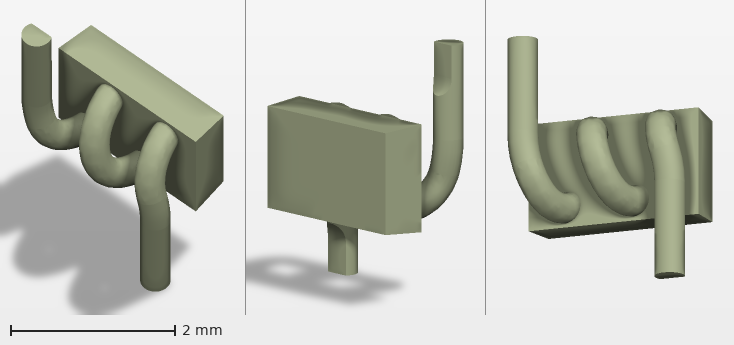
import cadquery as cq
import math

total_height = 3.17
wire_diameter = 0.375
coil_outer_radius = 0.635
turns = 2
pitch = 0.9
bend_height = 0.405

wire_radius = wire_diameter / 2
coil_radius = coil_outer_radius - wire_radius

core_front_y = 0.127
core_depth = 0.558
core_width = 2.23
core_height = 1.345
core_inset = 0.038

flat_offset = 0.092
flat_length = 0.412
runout_length = 0.222

coil_circumference = 2 * math.pi * coil_radius
coil_length = turns * pitch
lead_angle = math.atan(pitch / coil_circumference)
bend_radius = bend_height / math.sin(lead_angle)
bend_offset = bend_radius * (1 - math.cos(lead_angle))
lead_x = -coil_length / 2 - bend_offset


def make_coil():
    """Helical wire that starts and ends at the front of the coil."""
    helix = cq.Wire.makeHelix(pitch, coil_length, coil_radius)
    section_plane = cq.Plane(
        origin=(coil_radius, 0, 0),
        xDir=(1, 0, 0),
        normal=(0, math.cos(lead_angle), math.sin(lead_angle)),
    )
    upright = cq.Workplane(section_plane).circle(wire_radius).sweep(cq.Workplane(helix), isFrenet=True)
    coil_plane = cq.Plane(origin=(-coil_length / 2, 0, 0), xDir=(0, -1, 0), normal=(1, 0, 0))
    return cq.Workplane(upright.val().moved(cq.Location(coil_plane)))


def make_flat_cutter():
    """Cutter for the flat and its concave runout at the top of the left lead."""
    top = total_height / 2
    flat_y = -coil_radius + flat_offset
    back_y = -coil_radius + wire_radius
    runout_start = top - flat_length
    runout_rise = back_y - flat_y
    runout_radius = (runout_length**2 + runout_rise**2) / (2 * runout_rise)
    half_sweep = math.asin(runout_length / runout_radius) / 2
    runout_middle = (
        flat_y + runout_radius * (1 - math.cos(half_sweep)),
        runout_start - runout_radius * math.sin(half_sweep),
    )
    return (
        cq.Workplane("YZ", origin=(lead_x, 0, 0))
        .moveTo(flat_y, top)
        .lineTo(flat_y, runout_start)
        .threePointArc(runout_middle, (back_y, runout_start - runout_length))
        .lineTo(back_y, top)
        .close()
        .extrude(wire_radius, both=True)
    )


def make_upper_lead():
    """Bend and straight lead that rise from the left end of the coil."""
    straight = (
        cq.Workplane("XY", origin=(lead_x, -coil_radius, bend_height))
        .circle(wire_radius)
        .extrude(total_height / 2 - bend_height)
        .cut(make_flat_cutter())
    )
    bend = (
        cq.Workplane("XY", origin=(lead_x, -coil_radius, bend_height))
        .circle(wire_radius)
        .revolve(math.degrees(lead_angle), (bend_radius, 0), (bend_radius, -1))
    )
    return straight.union(bend)


def make_winding():
    """Coil with one lead up at the left and one lead down at the right."""
    upper_lead = make_upper_lead()
    lower_lead = upper_lead.rotate((0, 0, 0), (0, 1, 0), 180)
    return make_coil().union(upper_lead).union(lower_lead)


def make_core(winding):
    """Tapered block with a tunnel that fits the back of the winding."""
    block = (
        cq.Workplane("XZ", origin=(0, core_front_y, 0))
        .rect(core_width, core_height)
        .workplane(offset=-core_depth)
        .rect(core_width - 2 * core_inset, core_height - 2 * core_inset)
        .loft(ruled=True)
    )
    return block.cut(winding)


winding = make_winding()
core = make_core(winding)

result = cq.Compound.makeCompound([winding.solids().val(), core.solids().val()])